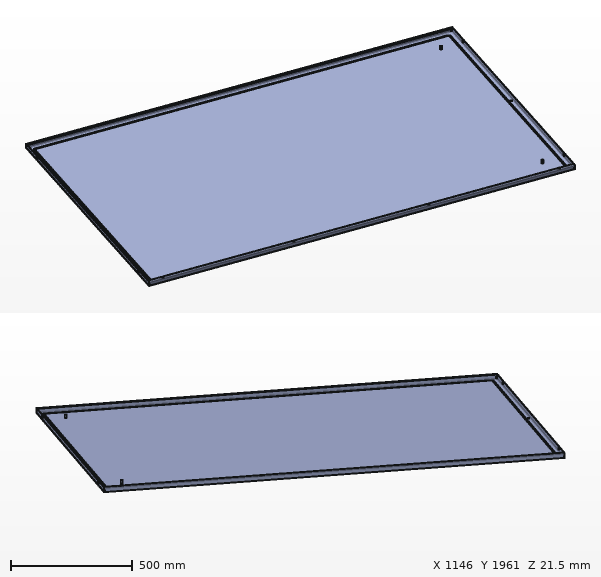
import cadquery as cq

sides = (-1, 1)

width = 1146.0
length = 1961.0
height = 21.5
sheet = 1.5
bend_radius = 2.0

lip_width = 12.0

lip_hole_diameter = 8.0
lip_hole_inset = 9.0
lip_hole_spans = (622.0, 1824.0)

floor_hole_diameter = 8.0
floor_hole_inset = 11.0

wall_hole_diameter = 10.0
wall_hole_span = 941.0

relief_length = 5.0
relief_height = 8.0

gasket_inset = 20.9
gasket_width = 6.6
gasket_height = 1.5
gasket_corner_inset = 32.0

stud_diameter = 9.0
stud_height = 14.0
stud_span = 945.0
stud_y = 880.0


def round_bends(block, radius):
    """Round the four bottom edges and the two long top edges, where the sheet is bent."""
    return block.edges("<Z").fillet(radius).edges(">Z and |Y").fillet(radius)


def make_tray():
    cavity_width = width - 2 * sheet
    cavity_length = length - 2 * sheet
    cavity = (
        cq.Workplane("XY")
        .workplane(offset=sheet)
        .rect(cavity_width, cavity_length)
        .extrude(height - 2 * sheet)
    )
    opening = (
        cq.Workplane("XY")
        .workplane(offset=height - sheet)
        .rect(width - 2 * lip_width, cavity_length)
        .extrude(sheet)
    )
    block = round_bends(cq.Workplane("XY").rect(width, length).extrude(height), bend_radius)
    return block.cut(round_bends(cavity, bend_radius - sheet)).cut(opening)


def make_lip_holes():
    hole_x = width / 2 - lip_hole_inset
    points = [
        (side_x * hole_x, side_y * span / 2)
        for span in lip_hole_spans
        for side_x in sides
        for side_y in sides
    ]
    return (
        cq.Workplane("XY")
        .workplane(offset=height - sheet)
        .pushPoints(points)
        .circle(lip_hole_diameter / 2)
        .extrude(sheet)
    )


def make_floor_holes():
    return (
        cq.Workplane("XY")
        .pushPoints([(0, side * (length / 2 - floor_hole_inset)) for side in sides])
        .circle(floor_hole_diameter / 2)
        .extrude(sheet)
    )


def make_wall_holes():
    return (
        cq.Workplane("XZ")
        .pushPoints([(side * wall_hole_span / 2, height / 2) for side in sides])
        .circle(wall_hole_diameter / 2)
        .extrude(length / 2, both=True)
    )


def make_corner_reliefs():
    notch_length = relief_length - sheet
    return (
        cq.Workplane("XY")
        .workplane(offset=sheet)
        .rect(width - sheet, length - 2 * sheet - notch_length, forConstruction=True)
        .vertices()
        .rect(sheet, notch_length)
        .extrude(relief_height - sheet)
    )


def make_panel():
    panel = make_tray()
    panel = panel.cut(make_lip_holes())
    panel = panel.cut(make_floor_holes())
    panel = panel.cut(make_wall_holes())
    return panel.cut(make_corner_reliefs())


def make_gasket():
    center_inset = gasket_inset + gasket_width / 2
    path = (
        cq.Workplane("XY")
        .workplane(offset=sheet)
        .rect(width - 2 * center_inset, length - 2 * center_inset)
        .extrude(gasket_height)
        .edges("|Z")
        .fillet(gasket_corner_inset - center_inset)
        .faces("<Z")
        .wires()
        .val()
    )
    profile = (
        cq.Workplane("XZ", origin=(width / 2 - center_inset, 0, sheet))
        .moveTo(-gasket_width / 2, 0)
        .threePointArc((0, gasket_height), (gasket_width / 2, 0))
        .close()
    )
    return profile.sweep(cq.Workplane(path))


def make_stud(side):
    return (
        cq.Workplane("XY")
        .workplane(offset=sheet)
        .center(side * stud_span / 2, stud_y)
        .circle(stud_diameter / 2)
        .extrude(stud_height)
    )


panel = make_panel()
gasket = make_gasket()
studs = [make_stud(side) for side in sides]

bodies = [panel, gasket, *studs]
result = cq.Compound.makeCompound([body.val() for body in bodies])